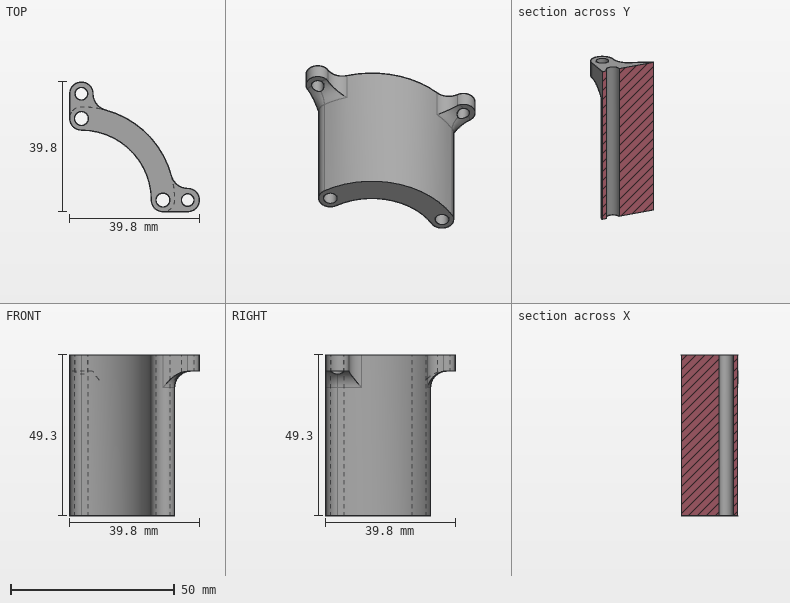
import cadquery as cq
import math

height = 49.3
post_offset = 25.0
end_radius = 3.6
ring_inner = post_offset - end_radius
ring_outer = post_offset + end_radius
post_hole_diameter = 4.2

ear_reach = 7.6
ear_offset = post_offset + ear_reach
ear_thickness = 5.0
ear_hole_diameter = 3.8
flare_radius = 5.0
ear_depth = ear_thickness + flare_radius
ear_underside = height - ear_thickness
ear_bottom = height - ear_depth

blend_radius = (ear_offset**2 + end_radius**2 - ring_outer**2) / (2 * (ring_outer - end_radius))
blend_center_y = end_radius + blend_radius


def on_blend(angle):
    """Point on the blend arc at an angle in radians."""
    x = ear_offset + blend_radius * math.cos(angle)
    y = blend_center_y + blend_radius * math.sin(angle)
    return x, y


def make_shell():
    """Quarter ring with rounded ends, full height."""
    diagonal = math.sqrt(0.5)
    return (
        cq.Workplane("XY")
        .moveTo(ring_inner, 0)
        .threePointArc((post_offset, -end_radius), (ring_outer, 0))
        .threePointArc((ring_outer * diagonal, ring_outer * diagonal), (0, ring_outer))
        .threePointArc((-end_radius, post_offset), (0, ring_inner))
        .threePointArc((ring_inner * diagonal, ring_inner * diagonal), (ring_inner, 0))
        .close()
        .extrude(height)
    )


def make_flare_cutter(axis_x, wall_radius, start_angle):
    """Half-turn ring to remove below the ear, following a wall around a vertical axis."""
    clearance = 2 * ear_reach
    diagonal = flare_radius * math.sqrt(0.5)
    center_r = wall_radius + flare_radius
    profile = (
        cq.Workplane("XZ")
        .moveTo(wall_radius, ear_bottom)
        .threePointArc((center_r - diagonal, ear_bottom + diagonal), (center_r, ear_underside))
        .lineTo(wall_radius + clearance, ear_underside)
        .lineTo(wall_radius + clearance, ear_bottom)
        .close()
    )
    return (
        profile.revolve(180, (0, 0, 0), (0, 1, 0))
        .rotate((0, 0, 0), (0, 0, 1), start_angle)
        .translate((axis_x, 0, 0))
    )


def make_ear():
    """Ear on the +X end, flared down into the shell wall."""
    blend_end_angle = math.atan2(-blend_center_y, -ear_offset)
    blend_mid_angle = (blend_end_angle - math.pi / 2) / 2
    ear = (
        cq.Workplane("XY", origin=(0, 0, ear_bottom))
        .moveTo(post_offset, -end_radius)
        .lineTo(ear_offset, -end_radius)
        .threePointArc((ear_offset + end_radius, 0), (ear_offset, end_radius))
        .threePointArc(on_blend(blend_mid_angle), on_blend(blend_end_angle))
        .lineTo(post_offset, 0)
        .close()
        .extrude(ear_depth)
    )
    ear = ear.cut(make_flare_cutter(0, ring_outer, 0))
    return ear.cut(make_flare_cutter(post_offset, end_radius, 180))


ear = make_ear()
mirrored_ear = ear.mirror("XZ").rotate((0, 0, 0), (0, 0, 1), 90)
result = make_shell().union(ear).union(mirrored_ear)

for offset, diameter in ((post_offset, post_hole_diameter), (ear_offset, ear_hole_diameter)):
    holes = (
        cq.Workplane("XY")
        .pushPoints([(offset, 0), (0, offset)])
        .circle(diameter / 2)
        .extrude(height)
    )
    result = result.cut(holes)